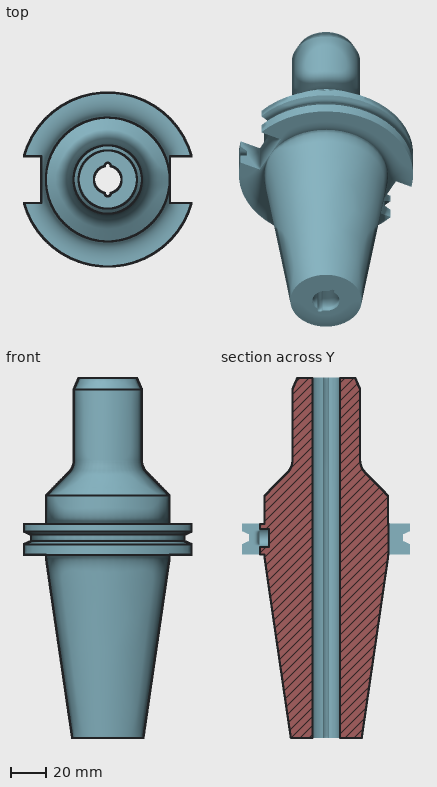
import cadquery as cq
import math

total_height = 203.2
gauge_height = 101.5
flange_bottom = 103.5
flange_top = 121.0
shoulder_height = 136.8
nose_chamfer_height = 6.5

gauge_radius = 35.0
taper_slope = 7 / 48
small_end_radius = gauge_radius - gauge_height * taper_slope
flange_radius = 49.2
nose_radius = 19.3
nose_tip_radius = 16.5

shoulder_angle = math.radians(45)
neck_fillet_radius = 9.1
neck_fillet_top = 156.5

groove_height = 113.0
groove_floor_radius = 45.3
groove_floor_width = 3.7
groove_mouth_width = 7.3

slot_width = 26.2
left_slot_floor = 37.5
right_slot_floor = 35.2
drive_hole_diameter = 9.8
drive_hole_depth = 5.0

bore_radius = 7.7
channel_radius = 1.6


def turned_body():
    """Revolve the taper, flange, shoulder and nose."""
    arc_center_radius = nose_radius + neck_fillet_radius

    def fillet_point(angle):
        return (
            arc_center_radius - neck_fillet_radius * math.cos(angle),
            neck_fillet_top - neck_fillet_radius * math.sin(angle),
        )

    return (
        cq.Workplane("XZ")
        .lineTo(small_end_radius, 0)
        .lineTo(gauge_radius, gauge_height)
        .lineTo(gauge_radius, flange_bottom)
        .lineTo(flange_radius, flange_bottom)
        .lineTo(flange_radius, flange_top)
        .lineTo(gauge_radius, flange_top)
        .lineTo(gauge_radius, shoulder_height)
        .lineTo(*fillet_point(shoulder_angle))
        .threePointArc(fillet_point(shoulder_angle / 2), fillet_point(0))
        .lineTo(nose_radius, total_height - nose_chamfer_height)
        .lineTo(nose_tip_radius, total_height)
        .lineTo(0, total_height)
        .close()
        .revolve(360, (0, 0), (0, 1))
    )


def gripper_groove():
    """Ring to remove from the flange rim."""
    half_floor = groove_floor_width / 2
    half_mouth = groove_mouth_width / 2
    outside_radius = flange_radius + 2
    return (
        cq.Workplane("XZ")
        .moveTo(groove_floor_radius, groove_height - half_floor)
        .lineTo(flange_radius, groove_height - half_mouth)
        .lineTo(outside_radius, groove_height - half_mouth)
        .lineTo(outside_radius, groove_height + half_mouth)
        .lineTo(flange_radius, groove_height + half_mouth)
        .lineTo(groove_floor_radius, groove_height + half_floor)
        .close()
        .revolve(360, (0, 0), (0, 1))
    )


def drive_slot(side, floor_distance):
    """Block to remove from the flange on the +X (side=1) or -X (side=-1) side."""
    return (
        cq.Workplane("XY", origin=(side * (floor_distance + flange_radius / 2), 0, flange_bottom))
        .rect(flange_radius, slot_width)
        .extrude(flange_top - flange_bottom)
    )


def drive_hole():
    """Blind hole in the floor of the -X slot."""
    return (
        cq.Workplane("YZ", origin=(-left_slot_floor, 0, groove_height))
        .circle(drive_hole_diameter / 2)
        .extrude(drive_hole_depth)
    )


def bore():
    """Through bore with a round channel on its +Y and -Y sides."""
    hole = cq.Workplane("XY").circle(bore_radius).extrude(total_height)
    channels = (
        cq.Workplane("XY")
        .pushPoints([(0, bore_radius), (0, -bore_radius)])
        .circle(channel_radius)
        .extrude(total_height)
    )
    return hole.union(channels)


result = (
    turned_body()
    .cut(gripper_groove())
    .cut(drive_slot(-1, left_slot_floor))
    .cut(drive_slot(1, right_slot_floor))
    .cut(drive_hole())
    .cut(bore())
)